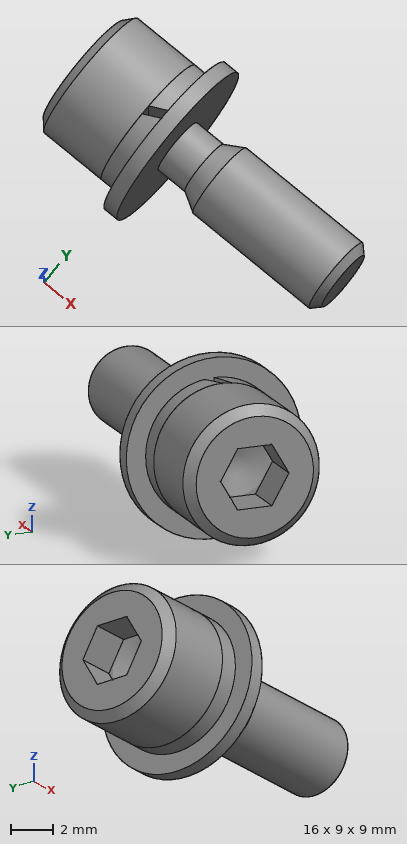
import cadquery as cq
import math

total_length = 16.0

head_diameter = 7.0
head_length = 4.0
head_chamfer_length = 0.45
head_face_diameter = 6.02

socket_across_flats = 3.04
socket_depth = 2.0
socket_cone_diameter = 3.0
socket_cone_angle = 150.0

shank_diameter = 2.9
thread_diameter = 4.0
shank_end = 7.44
shank_taper_angle = 30.0
tip_chamfer = 0.43

lock_washer_thickness = 1.0
split_width = 0.5
split_slant = 0.5

flat_washer_diameter = 9.0
flat_washer_thickness = 0.8

head_radius = head_diameter / 2
shank_radius = shank_diameter / 2
thread_radius = thread_diameter / 2
lock_washer_end = head_length + lock_washer_thickness


def make_ring(start, thickness, outer_diameter):
    """Washer around the X axis, with a bore that fits the shank."""
    return (
        cq.Workplane("YZ", origin=(start, 0, 0))
        .circle(outer_diameter / 2)
        .circle(shank_radius)
        .extrude(thickness)
    )


def make_socket():
    """Hexagonal recess with corners toward +Y and -Y, ending in a shallow cone."""
    across_corners = socket_across_flats / math.cos(math.radians(30))
    hexagon = cq.Workplane("YZ").polygon(6, across_corners).extrude(socket_depth)

    cone_radius = socket_cone_diameter / 2
    cone_depth = cone_radius / math.tan(math.radians(socket_cone_angle / 2))
    cone = cq.Workplane(
        cq.Solid.makeCone(cone_radius, 0, cone_depth, cq.Vector(socket_depth, 0, 0), cq.Vector(1, 0, 0))
    )
    return hexagon.union(cone)


def make_screw():
    """Turned head, reduced shank and thread cylinder, with the socket cut out."""
    taper_length = (thread_radius - shank_radius) / math.tan(math.radians(shank_taper_angle))
    half_profile = [
        (0, 0),
        (0, head_face_diameter / 2),
        (head_chamfer_length, head_radius),
        (head_length, head_radius),
        (head_length, shank_radius),
        (shank_end, shank_radius),
        (shank_end + taper_length, thread_radius),
        (total_length - tip_chamfer, thread_radius),
        (total_length, thread_radius - tip_chamfer),
        (total_length, 0),
    ]
    turned_body = cq.Workplane("XY").polyline(half_profile).close().revolve(360, (0, 0, 0), (1, 0, 0))
    return turned_body.cut(make_socket())


def make_lock_washer():
    """Ring with one slanted split through its +Z side."""
    ring = make_ring(head_length, lock_washer_thickness, head_diameter)
    split_outline = [
        (head_length, -split_slant / 2 - split_width / 2),
        (lock_washer_end, split_slant / 2 - split_width / 2),
        (lock_washer_end, split_slant / 2 + split_width / 2),
        (head_length, -split_slant / 2 + split_width / 2),
    ]
    split = cq.Workplane("XY").polyline(split_outline).close().extrude(head_radius)
    return ring.cut(split)


def make_flat_washer():
    """Plain ring between the lock washer and the clamped part."""
    return make_ring(lock_washer_end, flat_washer_thickness, flat_washer_diameter)


screw = make_screw()
lock_washer = make_lock_washer()
flat_washer = make_flat_washer()

result = cq.Compound.makeCompound([screw.val(), lock_washer.val(), flat_washer.val()])